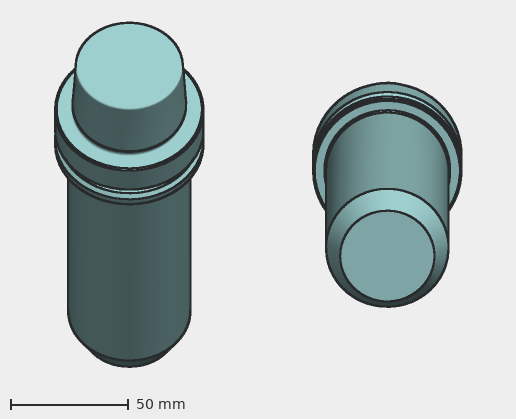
import cadquery as cq
import math

taper_top = 31.9
body_bottom = -160.0

taper_base_radius = 24.18
taper_base = 3.2
taper_slope = 1 / 20
rim_radius = 0.9

neck_depth = 0.4
neck_lead_height = 1.0
neck_fillet = 0.8
recess_outer_radius = 26.5
recess_angle = math.radians(10)
neck_radius = taper_base_radius - neck_depth
recess_depth = (recess_outer_radius - neck_radius) * math.tan(recess_angle)

flange_radius = 31.5
flange_bottom = -26.0
flange_edge_chamfer = 0.7
groove_radius = 27.5
groove_shoulder_radius = 29.5
groove_center = -18.125
groove_floor_width = 3.75
groove_mouth_width = 7.0

body_radius = 26.0
collar_radius = 26.7
collar_height = 1.2
tip_radius = 20.0
tip_height = 13.0


def groove_side(direction):
    """Groove wall from the mouth to the floor; direction is +1 above and -1 below."""
    floor_z = groove_center + direction * groove_floor_width / 2
    mouth_z = groove_center + direction * groove_mouth_width / 2
    return [(flange_radius, mouth_z), (groove_shoulder_radius, floor_z), (groove_radius, floor_z)]


def body_points():
    """Tip, body and collar, from the bottom upwards."""
    return [
        (0, body_bottom),
        (tip_radius, body_bottom),
        (body_radius, body_bottom + tip_height),
        (body_radius, flange_bottom - collar_height),
        (collar_radius, flange_bottom),
    ]


def flange_points():
    """Flange with its chamfered edges and the groove, from the bottom upwards."""
    chamfered_radius = flange_radius - flange_edge_chamfer
    lower_wall = groove_side(-1)
    upper_wall = groove_side(1)
    return [
        (chamfered_radius, flange_bottom),
        (flange_radius, flange_bottom + flange_edge_chamfer),
        *lower_wall,
        *reversed(upper_wall),
        (flange_radius, -flange_edge_chamfer),
        (chamfered_radius, 0),
    ]


def taper_points():
    """Sloping recess in the flange face, neck relief and taper, from the bottom upwards."""
    taper_top_radius = taper_base_radius - (taper_top - taper_base) * taper_slope
    return [
        (recess_outer_radius, 0),
        (neck_radius, -recess_depth),
        (neck_radius, taper_base - neck_lead_height),
        (taper_base_radius, taper_base),
        (taper_top_radius, taper_top),
        (0, taper_top),
    ]


def revolved_part():
    outline = body_points() + flange_points() + taper_points()
    return cq.Workplane("XZ").polyline(outline).close().revolve(360, (0, 0, 0), (0, 1, 0))


def round_taper_rim(part):
    return part.faces(">Z").edges().fillet(rim_radius)


def fillet_neck_root(part):
    """Round the corner between the neck and the recess; its circular edge is centered on the axis."""
    tolerance = 0.05
    root = cq.selectors.BoxSelector(
        (-tolerance, -tolerance, -recess_depth - tolerance),
        (tolerance, tolerance, -recess_depth + tolerance),
    )
    return part.edges(root).fillet(neck_fillet)


result = fillet_neck_root(round_taper_rim(revolved_part()))